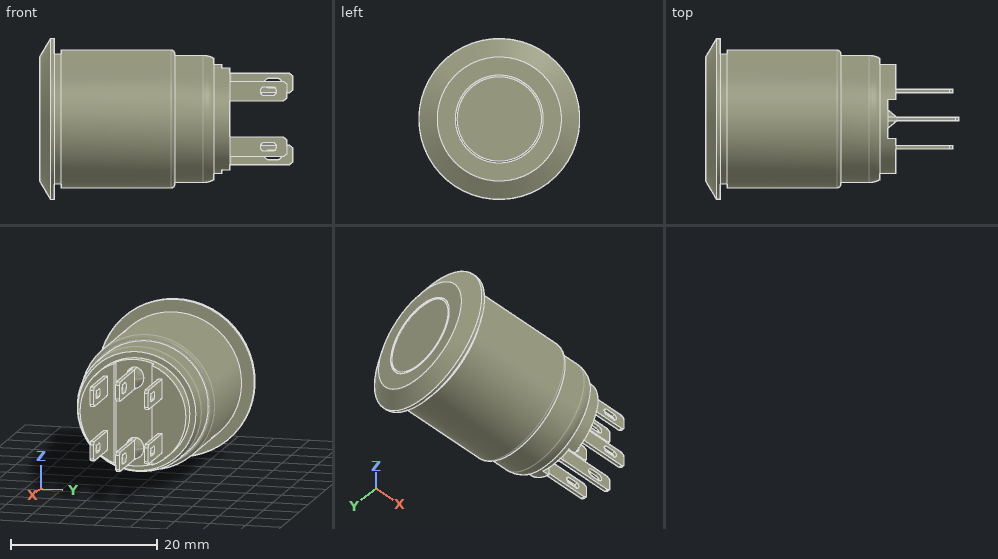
import cadquery as cq
import math

length = 34.6

face_radius = 8.48
bezel_radius = 22.0 / 2
bezel_cone_end = 1.5
bezel_end = 2.0

neck_radius = 17.8 / 2
neck_end = 2.95
barrel_radius = 18.9 / 2
barrel_end = 18.48
barrel_round = 0.55

sleeve_radius = 17.4 / 2
sleeve_crown_start = 22.3
sleeve_end = 23.8
sleeve_end_radius = 8.3

base_radius = 14.9 / 2
base_end = 26.0
channel_width = 5.3
channel_depth = 1.07
channel_floor = base_end - channel_depth

groove_radius = 12.0 / 2
groove_width = 0.25

blade_width = 2.7
blade_thickness = 0.52
blade_tip_bevel_x = 0.5
blade_tip_bevel_z = 0.38

outer_tip = 33.77
outer_y = 3.85
outer_z = 3.8
outer_eye_length = 2.18
outer_eye_height = 1.07
outer_eye_bulge = 0.3
outer_eye_to_tip = 2.53

middle_z = 4.9
middle_eye_length = 2.4
middle_eye_height = 1.28
middle_eye_to_tip = 2.7
foot_radius = 3.0 / 2
foot_sink = 0.3
foot_root = channel_floor - foot_sink
foot_end = 26.12


def crown_midpoint():
    """Point halfway along the sleeve's crown arc, which starts tangent to the sleeve."""
    run = sleeve_end - sleeve_crown_start
    drop = sleeve_radius - sleeve_end_radius
    crown_radius = (run**2 + drop**2) / (2 * drop)
    half_angle = math.asin(run / crown_radius) / 2
    return (
        sleeve_crown_start + crown_radius * math.sin(half_angle),
        sleeve_radius - crown_radius * (1 - math.cos(half_angle)),
    )


def turned_body():
    """Bezel, barrel, sleeve and terminal base as one revolved profile (X, radius)."""
    profile = (
        cq.Workplane("XY")
        .moveTo(0, 0)
        .lineTo(0, groove_radius - groove_width)
        .lineTo(groove_width, groove_radius)
        .lineTo(0, groove_radius)
        .lineTo(0, face_radius)
        .lineTo(bezel_cone_end, bezel_radius)
        .lineTo(bezel_end, bezel_radius)
        .lineTo(bezel_end, neck_radius)
        .lineTo(neck_end, neck_radius)
        .lineTo(neck_end, barrel_radius)
        .lineTo(barrel_end - barrel_round, barrel_radius)
        .radiusArc((barrel_end, barrel_radius - barrel_round), barrel_round)
        .lineTo(barrel_end, sleeve_radius)
        .lineTo(sleeve_crown_start, sleeve_radius)
        .threePointArc(crown_midpoint(), (sleeve_end, sleeve_end_radius))
        .lineTo(sleeve_end, base_radius)
        .lineTo(base_end, base_radius)
        .lineTo(base_end, 0)
        .close()
    )
    return profile.revolve(360, (0, 0, 0), (1, 0, 0))


def channel():
    """Cutter for the channel that runs along Z across the base's rear face."""
    return cq.Workplane("XY").box(
        channel_depth, channel_width, 2 * base_radius, centered=(False, True, True)
    ).translate((channel_floor, 0, 0))


def terminal(root, tip, y, z, eye_length, eye_height, eye_bulge, eye_to_tip):
    """Flat blade from root to tip in the XZ plane, with an arc-ended eye near its tip."""
    half_width = blade_width / 2
    tip_half_width = half_width - blade_tip_bevel_z
    bevel_start = tip - blade_tip_bevel_x
    blade = (
        cq.Workplane("XZ")
        .polyline([
            (root, -half_width),
            (bevel_start, -half_width),
            (tip, -tip_half_width),
            (tip, tip_half_width),
            (bevel_start, half_width),
            (root, half_width),
        ])
        .close()
        .extrude(blade_thickness / 2, both=True)
    )
    eye_center = tip - eye_to_tip
    half_length = eye_length / 2
    half_flat = half_length - eye_bulge
    half_height = eye_height / 2
    eye = (
        cq.Workplane("XZ")
        .moveTo(eye_center - half_flat, -half_height)
        .lineTo(eye_center + half_flat, -half_height)
        .threePointArc((eye_center + half_length, 0), (eye_center + half_flat, half_height))
        .lineTo(eye_center - half_flat, half_height)
        .threePointArc((eye_center - half_length, 0), (eye_center - half_flat, -half_height))
        .close()
        .extrude(blade_thickness, both=True)
    )
    return blade.cut(eye).translate((0, y, z))


def terminal_foot(z):
    """Foot tapering from a circle below the channel floor to the blade section."""
    return (
        cq.Workplane("YZ", origin=(foot_root, 0, z))
        .circle(foot_radius)
        .workplane(offset=foot_end - foot_root)
        .rect(blade_thickness, blade_width)
        .loft(ruled=True)
    )


result = turned_body().cut(channel())

for side_z in (-1, 1):
    for side_y in (-1, 1):
        result = result.union(terminal(
            channel_floor, outer_tip, side_y * outer_y, side_z * outer_z,
            outer_eye_length, outer_eye_height, outer_eye_bulge, outer_eye_to_tip,
        ))
    result = result.union(terminal_foot(side_z * middle_z))
    result = result.union(terminal(
        foot_end, length, 0, side_z * middle_z,
        middle_eye_length, middle_eye_height, middle_eye_height / 2, middle_eye_to_tip,
    ))